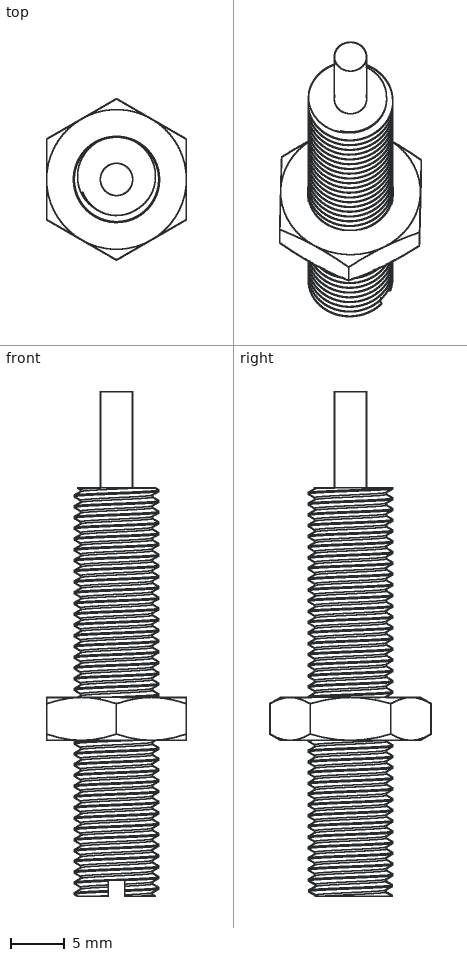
import cadquery as cq
import math

TOTAL_LENGTH = 47.0
PIN_DIAMETER = 3.0
PIN_LENGTH = 9.0
BODY_LENGTH = TOTAL_LENGTH - PIN_LENGTH

TURNS = 38
PITCH = BODY_LENGTH / TURNS
CREST_DIAMETER = 7.9
ROOT_DIAMETER = 6.7
FLANK_ANGLE = 30.0
CREST_WIDTH = PITCH / 8
CREST_START_ANGLE = 90.0

SLOT_WIDTH = 1.5
SLOT_DEPTH = 1.5

NUT_SIDES = 6
NUT_ACROSS_FLATS = 13.0
NUT_THICKNESS = 4.0
NUT_BOTTOM = 14.5
NUT_BORE = 8.0
NUT_CHAMFER_ANGLE = 30.0

CUT_MARGIN = 0.45


def helical_strip(start, end):
    """One turn of the surface that the line from start to end, each (radius, z), sweeps."""
    start_radius, start_z = start
    end_radius, end_z = end
    lower = cq.Wire.makeHelix(PITCH, PITCH, start_radius, center=cq.Vector(0, 0, start_z))
    upper = cq.Wire.makeHelix(PITCH, PITCH, end_radius, center=cq.Vector(0, 0, end_z))
    return cq.Face.makeRuledSurface(lower.Edges()[0], upper.Edges()[0])


def make_overlong_thread():
    """Threaded rod, starting on the +X side, whose helical ends lie beyond both body ends."""
    crest_radius = CREST_DIAMETER / 2
    root_radius = ROOT_DIAMETER / 2
    flank_height = (crest_radius - root_radius) * math.tan(math.radians(FLANK_ANGLE))
    crest_half = CREST_WIDTH / 2
    flank_foot = crest_half + flank_height
    profile = [
        (root_radius, -flank_foot),
        (crest_radius, -crest_half),
        (crest_radius, crest_half),
        (root_radius, flank_foot),
        (root_radius, PITCH - flank_foot),
    ]

    one_turn = [helical_strip(start, end) for start, end in zip(profile, profile[1:])]

    axis = cq.Edge.makeLine((0, 0, -flank_foot), (0, 0, PITCH - flank_foot))
    rim = cq.Wire.makeHelix(PITCH, PITCH, root_radius, center=cq.Vector(0, 0, -flank_foot))
    spiral_end = cq.Face.makeRuledSurface(axis, rim.Edges()[0])
    step_outline = [(0, -flank_foot), *profile, (0, PITCH - flank_foot)]
    step_points = [cq.Vector(radius, 0, z) for radius, z in step_outline]
    step_end = cq.Face.makeFromWires(cq.Wire.makePolygon(step_points, close=True))

    first_turn = -1
    last_turn = TURNS
    faces = [
        face.translate(cq.Vector(0, 0, turn * PITCH))
        for turn in range(first_turn, last_turn + 1)
        for face in one_turn
    ]
    for turn in (first_turn, last_turn + 1):
        for face in (spiral_end, step_end):
            faces.append(face.translate(cq.Vector(0, 0, turn * PITCH)))
    return cq.Workplane(cq.Solid.makeSolid(cq.Shell.makeShell(faces)))


def make_threaded_body():
    """Trim the thread to length, slot its lower end and add the pin to its upper end."""
    thread = make_overlong_thread().rotate((0, 0, 0), (0, 0, 1), CREST_START_ANGLE)
    body_envelope = cq.Workplane("XY").circle(CREST_DIAMETER / 2 + CUT_MARGIN).extrude(BODY_LENGTH)
    slot = cq.Workplane("XY").box(
        SLOT_WIDTH, CREST_DIAMETER + 2 * CUT_MARGIN, SLOT_DEPTH, centered=(True, True, False)
    )
    pin = cq.Workplane("XY").workplane(offset=BODY_LENGTH).circle(PIN_DIAMETER / 2).extrude(PIN_LENGTH)
    return thread.intersect(body_envelope).cut(slot).union(pin)


def make_nut():
    """Hexagon with corners on the Y axis, chamfered at both ends down to its inscribed circle."""
    corner_radius = NUT_ACROSS_FLATS / 2 / math.cos(math.pi / NUT_SIDES)
    hexagon = (
        cq.Workplane("XY")
        .polygon(NUT_SIDES, 2 * corner_radius)
        .extrude(NUT_THICKNESS)
        .rotate((0, 0, 0), (0, 0, 1), 90)
    )
    face_radius = NUT_ACROSS_FLATS / 2
    rim_radius = corner_radius + CUT_MARGIN
    rim_drop = (rim_radius - face_radius) * math.tan(math.radians(NUT_CHAMFER_ANGLE))
    chamfer_envelope = (
        cq.Workplane("XZ")
        .polyline([
            (0, 0),
            (face_radius, 0),
            (rim_radius, rim_drop),
            (rim_radius, NUT_THICKNESS - rim_drop),
            (face_radius, NUT_THICKNESS),
            (0, NUT_THICKNESS),
        ])
        .close()
        .revolve(360, (0, 0, 0), (0, 1, 0))
    )
    bore = cq.Workplane("XY").circle(NUT_BORE / 2).extrude(NUT_THICKNESS)
    return hexagon.intersect(chamfer_envelope).cut(bore).translate((0, 0, NUT_BOTTOM))


threaded_body = make_threaded_body()
nut = make_nut()

result = cq.Compound.makeCompound([threaded_body.solids().val(), nut.solids().val()])